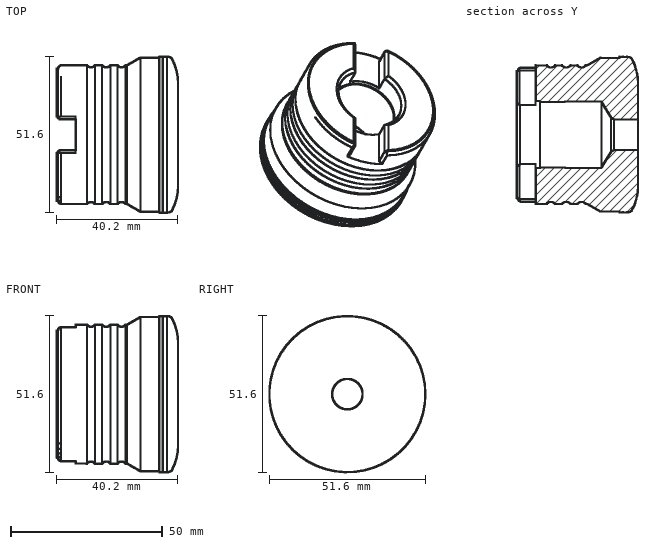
import math

import cadquery as cq

LENGTH = 40.15
BODY_RADIUS = 23.0

RIM_RADIUS = 21.85
RIM_LENGTH = 0.45
RIM_ROUND_LENGTH = 1.0
RIM_SHOULDER_RADIUS = 22.05
RIM_BULGE = 0.15

GROOVE_COUNT = 3
GROOVE_PITCH = 5.05
FIRST_GROOVE_X = 11.33
GROOVE_WIDTH = 2.7
GROOVE_DEPTH = 0.7

FLARE_START_X = 23.3
FLARE_END_X = 27.65
HEAD_RADIUS = 25.5
BAND_RADIUS = 25.82
BAND_START_X = 33.8
BAND_BEVEL = 0.15

FINE_LINE_CENTERS = (35.0, 36.45)
FINE_LINE_WIDTH = 0.15
FINE_LINE_DEPTH = 0.08

SHOULDER_END_X = 38.1
SHOULDER_END_RADIUS = 25.1
SHOULDER_BULGE = 0.2
BACK_FACE_RADIUS = 17.0

BORE_RADIUS = 11.0
BORE_CHAMFER = 1.1
BORE_STEP_X = 7.7
INNER_BORE_RADIUS = 10.7
RELIEF_START_X = 15.3
RELIEF_LENGTH = 1.0
RELIEF_RADIUS = 10.9
CONE_START_X = 28.0
CONE_SLOPE = math.radians(31)
HOLE_RADIUS = 5.0
HOLE_CHAMFER_RADIUS = 5.55
HOLE_CHAMFER_LENGTH = 0.9

SLOT_WIDTH = 10.2
SLOT_DEPTH = 6.3
SLOT_CHAMFER = 1.0

CUT_MARGIN = 1.0


def bulge_point(start, end, bulge):
    """Middle point of an arc that bows outward from the chord start-end."""
    dx = end[0] - start[0]
    dr = end[1] - start[1]
    chord = math.hypot(dx, dr)
    mid_x = (start[0] + end[0]) / 2 - dr / chord * bulge
    mid_r = (start[1] + end[1]) / 2 + dx / chord * bulge
    return mid_x, mid_r


def dome_bulge(start, end):
    """Arc height that makes the dome run smoothly into the flat back face."""
    length = end[0] - start[0]
    drop = start[1] - end[1]
    half_angle = math.atan2(length, drop)
    return math.hypot(length, drop) / 2 * math.tan(half_angle / 2)


def revolve_profile(profile):
    return profile.close().revolve(360, (0, 0, 0), (1, 0, 0))


def bulged_arc(profile, start, end, bulge):
    return profile.threePointArc(bulge_point(start, end, bulge), end)


def turned_body():
    """Solid outer shape, without the fine lines."""
    rim_start = (RIM_LENGTH, RIM_SHOULDER_RADIUS)
    rim_end = (RIM_LENGTH + RIM_ROUND_LENGTH, BODY_RADIUS)
    profile = cq.Workplane("XY").lineTo(0, RIM_RADIUS).lineTo(RIM_LENGTH, RIM_RADIUS).lineTo(*rim_start)
    profile = bulged_arc(profile, rim_start, rim_end, RIM_BULGE)

    for i in range(GROOVE_COUNT):
        center_x = FIRST_GROOVE_X + i * GROOVE_PITCH
        profile = profile.lineTo(center_x - GROOVE_WIDTH / 2, BODY_RADIUS)
        profile = profile.threePointArc(
            (center_x, BODY_RADIUS - GROOVE_DEPTH),
            (center_x + GROOVE_WIDTH / 2, BODY_RADIUS),
        )

    band_end = (FINE_LINE_CENTERS[-1] + FINE_LINE_WIDTH / 2, BAND_RADIUS)
    shoulder_end = (SHOULDER_END_X, SHOULDER_END_RADIUS)
    back_edge = (LENGTH, BACK_FACE_RADIUS)
    profile = (
        profile.lineTo(FLARE_START_X, BODY_RADIUS)
        .lineTo(FLARE_END_X, HEAD_RADIUS)
        .lineTo(BAND_START_X, HEAD_RADIUS)
        .lineTo(BAND_START_X + BAND_BEVEL, BAND_RADIUS)
        .lineTo(*band_end)
    )
    profile = bulged_arc(profile, band_end, shoulder_end, SHOULDER_BULGE)
    profile = bulged_arc(profile, shoulder_end, back_edge, dome_bulge(shoulder_end, back_edge))
    return revolve_profile(profile.lineTo(LENGTH, 0))


def fine_line(center_x):
    """Thin ring that cuts one fine line into the rim band."""
    start_plane = cq.Workplane("YZ", origin=(center_x - FINE_LINE_WIDTH / 2, 0, 0))
    return (
        start_plane.circle(BAND_RADIUS + CUT_MARGIN)
        .circle(BAND_RADIUS - FINE_LINE_DEPTH)
        .extrude(FINE_LINE_WIDTH)
    )


def stepped_bore():
    """Chamfered bore with a step, a relief, a conical floor and a through hole."""
    cone_length = (RELIEF_RADIUS - HOLE_CHAMFER_RADIUS) * math.tan(CONE_SLOPE)
    cone_end_x = CONE_START_X + cone_length
    profile = (
        cq.Workplane("XY")
        .lineTo(0, BORE_RADIUS + BORE_CHAMFER)
        .lineTo(BORE_CHAMFER, BORE_RADIUS)
        .lineTo(BORE_STEP_X, BORE_RADIUS)
        .lineTo(BORE_STEP_X, INNER_BORE_RADIUS)
        .lineTo(RELIEF_START_X, INNER_BORE_RADIUS)
        .lineTo(RELIEF_START_X + RELIEF_LENGTH, RELIEF_RADIUS)
        .lineTo(CONE_START_X, RELIEF_RADIUS)
        .lineTo(cone_end_x, HOLE_CHAMFER_RADIUS)
        .lineTo(cone_end_x + HOLE_CHAMFER_LENGTH, HOLE_RADIUS)
        .lineTo(LENGTH + CUT_MARGIN, HOLE_RADIUS)
        .lineTo(LENGTH + CUT_MARGIN, 0)
    )
    return revolve_profile(profile)


def driving_slot():
    """Slot whose mouth is bevelled along the front face."""
    half = SLOT_WIDTH / 2
    wide = half + SLOT_CHAMFER
    return (
        cq.Workplane("XY")
        .moveTo(0, -wide)
        .lineTo(SLOT_CHAMFER, -half)
        .lineTo(SLOT_DEPTH, -half)
        .lineTo(SLOT_DEPTH, half)
        .lineTo(SLOT_CHAMFER, half)
        .lineTo(0, wide)
        .close()
        .extrude(BODY_RADIUS + CUT_MARGIN, both=True)
    )


def slot_end_bevels():
    """Wedges that bevel the slot walls where they leave the outer cylinder."""
    half = SLOT_WIDTH / 2
    wide = half + SLOT_CHAMFER
    edge_z = math.sqrt(BODY_RADIUS**2 - wide**2)
    wedge = (
        cq.Workplane("YZ")
        .moveTo(-wide, edge_z)
        .lineTo(-half, edge_z - SLOT_CHAMFER)
        .lineTo(half, edge_z - SLOT_CHAMFER)
        .lineTo(wide, edge_z)
        .lineTo(wide, BODY_RADIUS + CUT_MARGIN)
        .lineTo(-wide, BODY_RADIUS + CUT_MARGIN)
        .close()
        .extrude(SLOT_DEPTH)
    )
    return wedge.union(wedge.mirror("XY"))


result = turned_body()
for line_x in FINE_LINE_CENTERS:
    result = result.cut(fine_line(line_x))
result = result.cut(stepped_bore()).cut(driving_slot()).cut(slot_end_bevels())